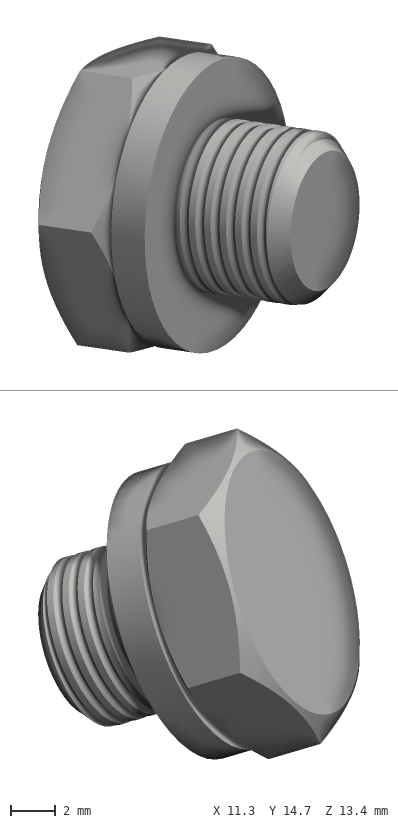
import cadquery as cq
import math

across_flats = 12.7
head_length = 4.05
head_face_diameter = 12.3
head_chamfer_angle = 30.0
head_tilt = -1.1

washer_diameter = 13.41
washer_thickness = 1.72

thread_length = 5.53
thread_diameter = 7.92
thread_pitch = 0.79
thread_depth = 0.32
root_width = 0.09
flank_half_angle = 30.0
groove_start = 0.7
tip_chamfer = 0.78
cutter_overrun = 0.07
rod_overrun = 4.4
cone_overrun = 0.15

corner_diameter = across_flats / math.cos(math.radians(30))
washer_face = head_length + washer_thickness
thread_radius = thread_diameter / 2
root_radius = thread_radius - thread_depth


def along_x(body):
    """Turn a body from the Z axis onto the X axis."""
    return body.rotate((0, 0, 0), (0, 1, 0), 90)


def make_head():
    """Hexagon with its corners turned off by a cone at both ends."""
    hexagon = (
        cq.Workplane("XY")
        .polygon(6, corner_diameter)
        .extrude(head_length)
        .rotate((0, 0, 0), (0, 0, 1), 90 + head_tilt)
    )
    face_radius = head_face_diameter / 2
    outer_radius = corner_diameter / 2 + cone_overrun
    cone_height = (outer_radius - face_radius) * math.tan(math.radians(head_chamfer_angle))
    envelope = (
        cq.Workplane("XZ")
        .moveTo(0, 0)
        .lineTo(face_radius, 0)
        .lineTo(outer_radius, cone_height)
        .lineTo(outer_radius, head_length - cone_height)
        .lineTo(face_radius, head_length)
        .lineTo(0, head_length)
        .close()
        .revolve(360, (0, 0), (0, 1))
    )
    return hexagon.intersect(envelope)


def make_thread_groove():
    """Right-hand helical cutter that runs past both ends of the thread."""
    start = groove_start - 2 * thread_pitch
    helix_height = thread_length + thread_pitch - start
    outer_radius = thread_radius + cutter_overrun
    root_half = root_width / 2
    outer_half = root_half + (outer_radius - root_radius) * math.tan(math.radians(flank_half_angle))
    section = [
        (root_radius, -root_half),
        (outer_radius, -outer_half),
        (outer_radius, outer_half),
        (root_radius, root_half),
    ]
    helices = [
        cq.Wire.makeHelix(thread_pitch, helix_height, radius).translate(cq.Vector(0, 0, start + height))
        for radius, height in section
    ]
    faces = [
        cq.Face.makeRuledSurface(helix, helices[(index + 1) % len(helices)])
        for index, helix in enumerate(helices)
    ]
    for end_height in (start, start + helix_height):
        turn = 2 * math.pi * (end_height - start) / thread_pitch
        corners = [
            cq.Vector(radius * math.cos(turn), radius * math.sin(turn), end_height + height)
            for radius, height in section
        ]
        faces.append(cq.Face.makeFromWires(cq.Wire.makePolygon(corners, close=True)))
    return cq.Workplane(cq.Solid.makeSolid(cq.Shell.makeShell(faces)))


def make_thread():
    """Threaded end with a chamfered tip, starting at the washer.

    The groove is cut into an overlong rod, which is then trimmed to the end's outline.
    """
    rod = (
        cq.Workplane("XY")
        .workplane(offset=-rod_overrun)
        .circle(thread_radius)
        .extrude(thread_length + 2 * rod_overrun)
    )
    outline = (
        cq.Workplane("XY")
        .circle(thread_radius)
        .extrude(thread_length)
        .faces(">Z")
        .chamfer(tip_chamfer)
    )
    thread = outline.intersect(rod.cut(make_thread_groove()))
    return thread.translate((0, 0, washer_face))


def make_screw():
    """Hexagon head, plain neck through the washer, and threaded end."""
    neck = (
        cq.Workplane("XY")
        .workplane(offset=head_length)
        .circle(thread_radius)
        .extrude(washer_thickness)
    )
    return along_x(make_head().union(neck).union(make_thread()))


def make_washer():
    """Flat ring that fits closely around the neck, against the head."""
    ring = (
        cq.Workplane("XY")
        .workplane(offset=head_length)
        .circle(washer_diameter / 2)
        .circle(thread_radius)
        .extrude(washer_thickness)
    )
    return along_x(ring)


screw = make_screw()
washer = make_washer()
result = cq.Compound.makeCompound([screw.solids().val(), washer.val()])